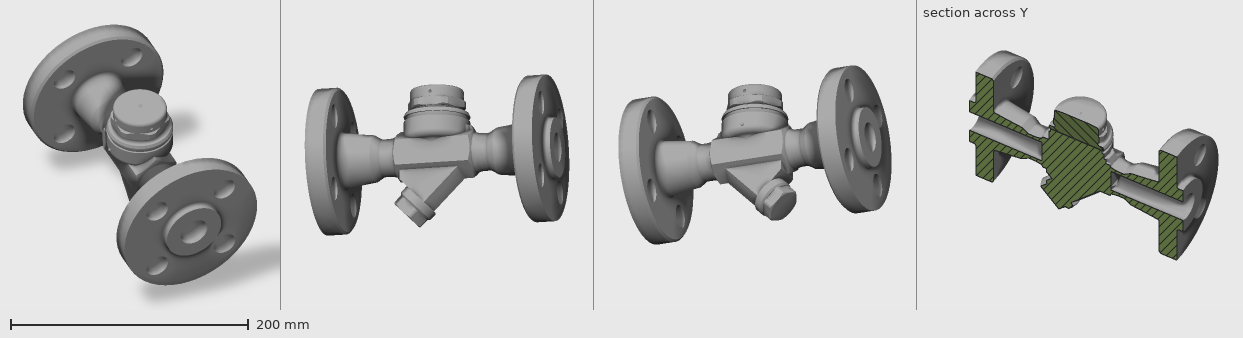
import cadquery as cq
import math

length = 210.0
flange_dia = 124.0
flange_back_x = 81.0
flange_chamfer_length = 1.9
flange_chamfer_depth = 1.9
raised_face_dia = 50.8
raised_face_height = 6.0
raised_face_fillet = 1.9
hub_fillet = 2.0
hub_root_radius = 23.3
hub_small_radius = 20.0
hub_end_x = 53.5
pipe_dia = 32.0
pipe_start_x = 46.8
pipe_end_x = 41.4
pipe_flare_radius = 18.3
collar_dia = 34.0
collar_end_x = 35.3
bore_dia = 25.0
bolt_hole_dia = 20.0
bolt_circle_dia = 88.8
bolt_count = 4

block_flats = 37.8
block_end_x = 34.2
block_corner_x = 31.7
rib_width = 10.0
rib_top_z = 22.9
rib_flare = 2.5

chamber_dia = 56.0
chamber_step_z = 28.4
bowl_fillet = 5.2
bowl_top_z = 16.2
chamber_neck_dia = 37.8
chamber_neck_fillet = 3.5
groove_dia = 53.0

cap_base_z = 32.0
cap_rim_edge_z = 33.2
cap_rim_top_z = 35.5
cap_rim_chamfer = 1.3
cap_neck_dia = 44.0
cap_neck_fillet = 1.5
cap_hex_flats = 45.4
cap_hex_corner_dia = 49.5
cap_hex_bottom_z = 38.2
cap_hex_top_z = 46.0
cap_dia = 45.5
cap_side_top_z = 53.8
cap_shoulder_dia = 39.5
cap_shoulder_z = 56.3
cap_shoulder_radius = 3.0
cap_crown_dia = 30.0
cap_crown_z = 57.0
cap_mark_z = 49.8
cap_mark_count = 4

branch_slope = 45.0
branch_start_x = -24.5
branch_flats = 26.5
branch_length = 36.3
branch_end_x = 29.5
plug_collar_dia = 34.0
plug_collar_length = 9.0
plug_collar_chamfer = 1.7
plug_seat_chamfer = 0.8
plug_hex_flats = 28.5
plug_hex_corner_dia = 32.0
plug_hex_length = 9.2

mark_dia = 3.0
chamber_mark_z = 17.5

corner_chamfer_slope = math.tan(math.radians(30))


def corners(flats):
    """Diameter across the corners of a hexagon."""
    return flats / math.cos(math.radians(30))


def ball(x, y, z):
    """Small ball with its poles along Y."""
    return cq.Workplane("XZ").sphere(mark_dia / 2).translate((x, y, z))


def trimmed_hexagon(flats, corner_dia, height, chamfer_both_ends):
    """Upright hexagonal prism with turned corners and conical end chamfers."""
    rise = (corner_dia - flats) / 2 * corner_chamfer_slope
    envelope = cq.Workplane("XY").circle(corner_dia / 2).extrude(height)
    ends = envelope.faces("<Z or >Z") if chamfer_both_ends else envelope.faces(">Z")
    envelope = ends.chamfer(rise, (corner_dia - flats) / 2)
    prism = cq.Workplane("XY").polygon(6, corners(flats)).extrude(height)
    return prism.intersect(envelope)


def pipe_end():
    """Pipe, hub and flange on the +X side."""
    flange_radius = flange_dia / 2
    face_x = length / 2
    flange_front_x = face_x - raised_face_height
    pipe = (
        cq.Workplane("XY")
        .moveTo(0, 0)
        .lineTo(0, collar_dia / 2)
        .lineTo(collar_end_x, collar_dia / 2)
        .radiusArc((pipe_end_x, pipe_dia / 2), -pipe_flare_radius)
        .lineTo(pipe_start_x, pipe_dia / 2)
        .lineTo(hub_end_x, hub_small_radius)
        .lineTo(flange_back_x - hub_fillet, hub_root_radius)
        .radiusArc((flange_back_x, hub_root_radius + hub_fillet), -hub_fillet)
        .lineTo(flange_back_x, flange_radius - flange_chamfer_depth)
        .lineTo(flange_back_x + flange_chamfer_length, flange_radius)
        .lineTo(flange_front_x, flange_radius)
        .lineTo(flange_front_x, raised_face_dia / 2 + raised_face_fillet)
        .radiusArc((flange_front_x + raised_face_fillet, raised_face_dia / 2), -raised_face_fillet)
        .lineTo(face_x, raised_face_dia / 2)
        .lineTo(face_x, 0)
        .close()
        .revolve(360, (0, 0, 0), (1, 0, 0))
    )
    bolt_holes = (
        cq.Workplane("YZ", origin=(flange_back_x, 0, 0))
        .polarArray(bolt_circle_dia / 2, 180 / bolt_count, 360, bolt_count)
        .circle(bolt_hole_dia / 2)
        .extrude(face_x)
    )
    bore = cq.Workplane("YZ", origin=(block_end_x, 0, 0)).circle(bore_dia / 2).extrude(face_x)
    return pipe.cut(bolt_holes).cut(bore)


def inlet_rib():
    """Rib on the -X side of the chamber, flaring out where it meets the chamber wall."""
    half_width = rib_width / 2
    flare_width = half_width + rib_flare
    wall_x = -math.sqrt((chamber_dia / 2) ** 2 - flare_width**2)
    flare_x = wall_x - rib_flare
    return (
        cq.Workplane("XY")
        .moveTo(-block_end_x, -half_width)
        .lineTo(flare_x, -half_width)
        .radiusArc((wall_x, -flare_width), -rib_flare)
        .lineTo(0, -flare_width)
        .lineTo(0, flare_width)
        .lineTo(wall_x, flare_width)
        .radiusArc((flare_x, half_width), -rib_flare)
        .lineTo(-block_end_x, half_width)
        .close()
        .extrude(rib_top_z)
    )


def block():
    """Hexagonal block and inlet rib, with a conical chamfer around both ends."""
    corner_radius = corners(block_flats) / 2
    slope = (corner_radius - collar_dia / 2) / (block_end_x - block_corner_x)
    cone_height = collar_dia / 2 + slope * block_end_x
    envelope = (
        cq.Workplane("XY")
        .polyline([
            (-block_end_x, 0),
            (-block_end_x, collar_dia / 2),
            (0, cone_height),
            (block_end_x, collar_dia / 2),
            (block_end_x, 0),
        ])
        .close()
        .revolve(360, (0, 0, 0), (1, 0, 0))
    )
    hexagon = (
        cq.Workplane("YZ", origin=(-block_end_x, 0, 0))
        .transformed(rotate=(0, 0, 90))
        .polygon(6, corners(block_flats))
        .extrude(2 * block_end_x)
    )
    return hexagon.union(inlet_rib()).intersect(envelope)


def chamber():
    """Bowl-shaped chamber with the narrower spigot that carries the cap."""
    radius = chamber_dia / 2
    neck_radius = chamber_neck_dia / 2
    bowl_bottom_z = bowl_top_z - bowl_fillet
    return (
        cq.Workplane("XZ")
        .moveTo(0, 0)
        .lineTo(neck_radius, 0)
        .lineTo(neck_radius, bowl_bottom_z - chamber_neck_fillet)
        .radiusArc((neck_radius + chamber_neck_fillet, bowl_bottom_z), chamber_neck_fillet)
        .lineTo(radius - bowl_fillet, bowl_bottom_z)
        .radiusArc((radius, bowl_top_z), -bowl_fillet)
        .lineTo(radius, chamber_step_z)
        .lineTo(groove_dia / 2, chamber_step_z)
        .lineTo(groove_dia / 2, cap_base_z)
        .lineTo(0, cap_base_z)
        .close()
        .revolve(360, (0, 0, 0), (0, 1, 0))
    )


def along_branch(shape):
    """Tilt a shape built up Z so that Z runs down the branch, toward +X and -Z."""
    foot = branch_start_x / 2
    return shape.rotate((0, 0, 0), (0, 1, 0), 180 - branch_slope).translate((foot, 0, foot))


def branch():
    """Branch with a half-hexagon underside; its flat sides reach up into the block."""
    half_width = branch_flats / 2
    vertex = corners(branch_flats) / 2
    reach = 2 * block_end_x
    root_depth = block_flats / 2
    arm = along_branch(
        cq.Workplane("XY")
        .polyline([
            (vertex, 0),
            (vertex / 2, half_width),
            (-reach, half_width),
            (-reach, -half_width),
            (vertex / 2, -half_width),
        ])
        .close()
        .extrude(branch_length + root_depth)
        .translate((0, 0, -root_depth))
    )
    limit = cq.Workplane("XY").box(reach, block_flats, reach).translate(
        (branch_end_x - reach / 2, 0, -reach / 2)
    )
    return arm.intersect(limit)


def screen_plug():
    """Chamfered round collar and hexagon head at the end of the branch."""
    collar = (
        cq.Workplane("XY")
        .circle(plug_collar_dia / 2)
        .extrude(plug_collar_length)
        .faces(">Z")
        .chamfer(plug_collar_chamfer)
        .faces("<Z")
        .chamfer(plug_seat_chamfer)
    )
    head = trimmed_hexagon(plug_hex_flats, plug_hex_corner_dia, plug_hex_length, False)
    plug = collar.union(head.translate((0, 0, plug_collar_length)))
    return along_branch(plug.translate((0, 0, branch_length)))


def make_housing():
    """Block, pipe ends, chamber, branch and screen plug as one solid."""
    outlet = pipe_end()
    inlet = outlet.mirror("YZ")
    body = block().union(outlet).union(inlet).union(chamber())
    body = body.union(branch()).union(screen_plug())
    return body.union(ball(0, -chamber_dia / 2, chamber_mark_z))


def make_cap():
    """Turned cap with a hexagon, a raised mark on top and dimples around its side."""
    rim_radius = chamber_dia / 2
    neck_radius = cap_neck_dia / 2
    turned = (
        cq.Workplane("XZ")
        .moveTo(0, cap_base_z)
        .lineTo(rim_radius, cap_base_z)
        .lineTo(rim_radius, cap_rim_edge_z)
        .lineTo(rim_radius - cap_rim_chamfer, cap_rim_top_z)
        .lineTo(neck_radius + cap_neck_fillet, cap_rim_top_z)
        .radiusArc((neck_radius, cap_rim_top_z + cap_neck_fillet), cap_neck_fillet)
        .lineTo(neck_radius, cap_hex_top_z)
        .lineTo(cap_dia / 2, cap_hex_top_z)
        .lineTo(cap_dia / 2, cap_side_top_z)
        .radiusArc((cap_shoulder_dia / 2, cap_shoulder_z), -cap_shoulder_radius)
        .lineTo(cap_crown_dia / 2, cap_crown_z)
        .lineTo(0, cap_crown_z)
        .close()
        .revolve(360, (0, 0, 0), (0, 1, 0))
    )
    body = turned.rotate((0, 0, 0), (0, 0, 1), 45).union(ball(0, 0, cap_shoulder_z))
    dimple = ball(0, -cap_dia / 2, cap_mark_z)
    for index in range(cap_mark_count):
        body = body.cut(dimple.rotate((0, 0, 0), (0, 0, 1), index * 360 / cap_mark_count))
    hex_height = cap_hex_top_z - cap_hex_bottom_z
    hexagon = trimmed_hexagon(cap_hex_flats, cap_hex_corner_dia, hex_height, True)
    return body.union(hexagon.translate((0, 0, cap_hex_bottom_z)))


housing = make_housing()
cap = make_cap()
result = cq.Compound.makeCompound([housing.val(), cap.val()])